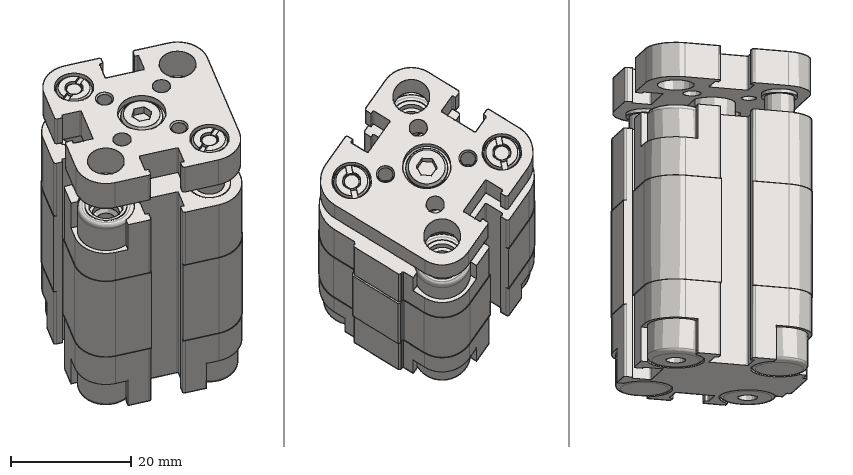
import cadquery as cq
import math

pin_offset = 9.0

housing_height = 43.0
band_bottom = 12.5
band_top = 30.5
plate_top = 53.5
plate_thickness = 5.9
plate_bottom = plate_top - plate_thickness

plate_half = 14.2
end_half = 14.4
band_half = 14.5

slot_floor = 9.5
slot_lip_inner = 12.9
slot_half_width = 3.4
slot_mouth_half = 2.75
slot_corner_radius = 0.2
mouth_overlap = 1.0
mouth_edge_radius = 0.4

end_rail_top = 15.2
end_rail_half = 4.7
band_rail_top = 15.5
band_rail_half = 4.8
rail_edge_chamfer = 0.3
rail_foot_flare = 0.2
rail_root = 1.0

boss_diameter = 9.5
boss_fillet = 0.75
boss_height = 5.9
boss_relief_start = 6.8
boss_counterbore_diameter = 5.7
boss_counterbore_depth = 1.8
boss_bore_diameter = 4.5
boss_bore_depth = 1.1
boss_thread_diameter = 3.24

seat_diameter = 7.0
seat_depth = 0.2

pin_diameter = 5.0
pin_depth = 10.0
pin_collar_diameter = 6.0
pin_collar_height = 0.6
pin_recess_diameter = 6.5
pin_recess_depth = 1.2
pin_head_diameter = 6.0
pin_head_face_diameter = 5.3
pin_head_recess = 0.15
pin_slot_width = 1.0
pin_slot_depth = 0.5
pin_bore_diameter = 3.0
pin_stud_diameter = 2.46
pin_stud_recess = 0.35

rod_diameter = 8.0
rod_flats = 7.0
rod_round_height = 0.7
rod_depth = 10.0
screw_head_diameter = 7.0
screw_face_diameter = 6.1
screw_recess = 0.3
screw_gap_depth = 1.2
hex_size = 3.0
hex_depth = 1.5

access_diameter = 6.1
mount_offset = 4.95
mount_diameter = 3.0
mount_core_diameter = 2.46

pin_points = [(-pin_offset, -pin_offset), (pin_offset, pin_offset)]
screw_points = [(-pin_offset, pin_offset), (pin_offset, -pin_offset)]
corner_points = pin_points + screw_points


def cylinder(point, diameter, bottom, top):
    return cq.Workplane("XY", origin=(*point, bottom)).circle(diameter / 2).extrude(top - bottom)


def cone(point, bottom_diameter, top_diameter, bottom, top):
    return (
        cq.Workplane("XY", origin=(*point, bottom))
        .circle(bottom_diameter / 2)
        .workplane(offset=top - bottom)
        .circle(top_diameter / 2)
        .loft(ruled=True)
    )


def rounded_square(half, bottom, top):
    """Square prism whose corner arcs are centred on the four boss axes."""
    return (
        cq.Workplane("XY", origin=(0, 0, bottom))
        .rect(2 * half, 2 * half)
        .extrude(top - bottom)
        .edges("|Z")
        .fillet(half - pin_offset)
    )


def t_slots(outer_half, bottom, top, rounded_mouth):
    """Cutters for the T-slots; the mouth edges at outer_half can be rounded over."""
    height = top - bottom
    slot = (
        cq.Workplane("XY", origin=(0, -(slot_floor + slot_lip_inner) / 2, bottom))
        .rect(2 * slot_half_width, slot_lip_inner - slot_floor)
        .extrude(height)
        .edges("|Z")
        .fillet(slot_corner_radius)
    )
    mouth_inner = -slot_lip_inner + mouth_overlap
    mouth = cq.Workplane("XY", origin=(0, 0, bottom)).moveTo(-slot_mouth_half, mouth_inner)
    if rounded_mouth:
        edge = mouth_edge_radius
        mouth = (
            mouth.lineTo(-slot_mouth_half, -outer_half + edge)
            .radiusArc((-slot_mouth_half - edge, -outer_half), edge)
            .lineTo(slot_mouth_half + edge, -outer_half)
            .radiusArc((slot_mouth_half, -outer_half + edge), edge)
        )
    else:
        mouth = mouth.lineTo(-slot_mouth_half, -outer_half).lineTo(slot_mouth_half, -outer_half)
    mouth = mouth.lineTo(slot_mouth_half, mouth_inner).close().extrude(height)
    front_slot = slot.union(mouth)
    cutters = front_slot
    for angle in (-90, 90):
        cutters = cutters.union(front_slot.rotate((0, 0, 0), (0, 0, 1), angle))
    return cutters


def rail(side, half_width, rail_top, bottom, top):
    """Rail on the +Y face: flared foot, straight flanks and chamfered top edges."""
    right_side = [
        (half_width + rail_foot_flare, side),
        (half_width, side + rail_foot_flare),
        (half_width, rail_top - rail_edge_chamfer),
        (half_width - rail_edge_chamfer, rail_top),
    ]
    left_side = [(-x, y) for x, y in reversed(right_side)]
    root = [(-half_width, side - rail_root), (half_width, side - rail_root)]
    return (
        cq.Workplane("XY", origin=(0, 0, bottom))
        .polyline(right_side + left_side + root)
        .close()
        .extrude(top - bottom)
    )


def housing_section(half, rail_half, rail_top, bottom, top, rounded_mouth):
    section = rounded_square(half, bottom, top)
    section = section.union(rail(half, rail_half, rail_top, bottom, top))
    return section.cut(t_slots(half, bottom, top, rounded_mouth))


def boss_relief(point, end_level, into_housing):
    """Material removed around one boss; into_housing is +1 from the bottom end, -1 from the top."""
    ledge = end_level + into_housing * boss_height
    bottom, top = sorted((end_level, ledge))
    corner_size = 2 * (band_half - boss_relief_start)
    x_side = 1 if point[0] > 0 else -1
    y_side = 1 if point[1] > 0 else -1
    corner_centre = boss_relief_start + corner_size / 2
    corner = (
        cq.Workplane("XY", origin=(x_side * corner_centre, y_side * corner_centre, bottom))
        .rect(corner_size, corner_size)
        .extrude(top - bottom)
    )
    boss = cylinder(point, boss_diameter, bottom, top)
    rounded_boss = boss.faces(">Z" if into_housing < 0 else "<Z").edges().fillet(boss_fillet)
    return corner.union(boss).cut(rounded_boss)


def screw_hole(point):
    floor = housing_height - boss_counterbore_depth
    cone_depth = (boss_bore_diameter - boss_thread_diameter) / 2
    bore_floor = floor - boss_bore_depth
    hole = cylinder(point, boss_thread_diameter, 0, housing_height)
    hole = hole.union(cylinder(point, boss_bore_diameter, bore_floor, floor))
    hole = hole.union(cylinder(point, boss_counterbore_diameter, floor, housing_height))
    return hole.union(
        cone(point, boss_thread_diameter, boss_bore_diameter, bore_floor - cone_depth, bore_floor)
    )


def build_housing():
    body = housing_section(end_half, end_rail_half, end_rail_top, 0, band_bottom, True)
    body = body.union(
        housing_section(band_half, band_rail_half, band_rail_top, band_bottom, band_top, False)
    )
    body = body.union(
        housing_section(end_half, end_rail_half, end_rail_top, band_top, housing_height, True)
    )
    for point in corner_points:
        body = body.cut(boss_relief(point, 0, 1))
        body = body.cut(cylinder(point, seat_diameter, housing_height - seat_depth, housing_height))
    for point in screw_points:
        body = body.cut(boss_relief(point, housing_height, -1))
        body = body.cut(screw_hole(point))
    for point in pin_points:
        body = body.cut(cylinder(point, pin_diameter, housing_height - pin_depth, housing_height))
    return body.cut(cylinder((0, 0), rod_diameter, housing_height - rod_depth, housing_height))


def guide_pin(point):
    """Shank with a collar under the plate, and the slotted head in the top of the plate."""
    face = plate_top - pin_head_recess
    chamfer = (pin_head_diameter - pin_head_face_diameter) / 2
    stud_chamfer = (pin_bore_diameter - pin_stud_diameter) / 2
    stud_top = face - pin_stud_recess
    pin = cylinder(point, pin_diameter, housing_height - pin_depth, plate_bottom)
    pin = pin.union(
        cylinder(point, pin_collar_diameter, plate_bottom - pin_collar_height, plate_bottom)
    )
    head = cylinder(point, pin_head_diameter, plate_top - pin_recess_depth, face)
    head = head.faces(">Z").chamfer(chamfer)
    slot = (
        cq.Workplane("XY", origin=(*point, face - pin_slot_depth))
        .transformed(rotate=(0, 0, -45))
        .rect(pin_head_diameter, pin_slot_width)
        .extrude(pin_slot_depth)
    )
    bore = cylinder(point, pin_bore_diameter, stud_top - stud_chamfer, face)
    stud = cone(point, pin_bore_diameter, pin_stud_diameter, stud_top - stud_chamfer, stud_top)
    return pin, head.cut(slot).cut(bore).union(stud)


def piston_rod():
    flats_bottom = housing_height + rod_round_height
    rod = cylinder((0, 0), rod_diameter, housing_height - rod_depth, flats_bottom)
    flat_part = cylinder((0, 0), rod_diameter, flats_bottom, plate_bottom).intersect(
        cq.Workplane("XY", origin=(0, 0, flats_bottom))
        .rect(rod_diameter, rod_flats)
        .extrude(plate_bottom - flats_bottom)
    )
    return rod.union(flat_part)


def screw_head_and_socket():
    face = plate_top - screw_recess
    chamfer = (screw_head_diameter - screw_face_diameter) / 2
    corner_diameter = hex_size / math.cos(math.pi / 6)
    socket = (
        cq.Workplane("XY", origin=(0, 0, face - hex_depth))
        .transformed(rotate=(0, 0, 30))
        .polygon(6, corner_diameter)
        .extrude(hex_depth)
    )
    head = cylinder((0, 0), screw_head_diameter, plate_top - screw_gap_depth, face)
    head = head.faces(">Z").chamfer(chamfer)
    return head, socket


def mount_hole(point):
    chamfer = (mount_diameter - mount_core_diameter) / 2
    hole = cylinder(point, mount_core_diameter, plate_bottom, plate_top)
    return hole.union(
        cone(point, mount_core_diameter, mount_diameter, plate_top - chamfer, plate_top)
    )


def build_plate():
    plate = rounded_square(plate_half, plate_bottom, plate_top)
    plate = plate.cut(t_slots(plate_half, plate_bottom, plate_top, True))
    for point in screw_points:
        plate = plate.cut(cylinder(point, access_diameter, plate_bottom, plate_top))
    for side in (-1, 1):
        plain_point = (side * mount_offset, -side * mount_offset)
        plate = plate.cut(cylinder(plain_point, mount_diameter, plate_bottom, plate_top))
        plate = plate.cut(mount_hole((side * mount_offset, side * mount_offset)))
    for point in pin_points:
        recess_floor = plate_top - pin_recess_depth
        plate = plate.cut(cylinder(point, pin_recess_diameter, recess_floor, plate_top))
        pin, pin_head = guide_pin(point)
        plate = plate.union(pin).union(pin_head)
    head, socket = screw_head_and_socket()
    plate = plate.cut(cylinder((0, 0), rod_diameter, plate_top - screw_gap_depth, plate_top))
    plate = plate.union(head).cut(socket)
    return plate.union(piston_rod())


housing = build_housing()
moving_plate = build_plate()
result = cq.Compound.makeCompound([housing.val(), moving_plate.val()])